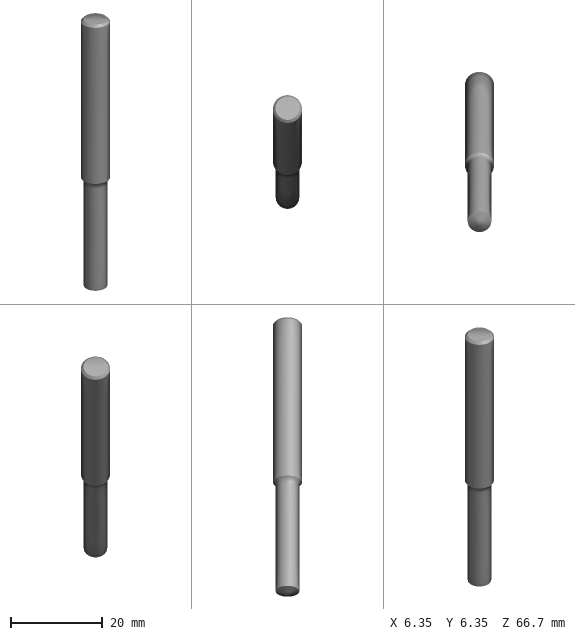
import cadquery as cq
import math

total_length = 66.7
shank_diameter = 6.35
cutting_diameter = 5.15
point_angle = 140.0
cutting_length = 20.4
neck_end_height = 26.2
flare_radius = 2.0
end_chamfer = 0.55

shank_radius = shank_diameter / 2
cutting_radius = cutting_diameter / 2
point_height = cutting_radius / math.tan(math.radians(point_angle / 2))
flare_step = shank_radius - cutting_radius
flare_angle = math.acos(1 - flare_step / flare_radius)
flare_height = flare_radius * math.sin(flare_angle)


def flare_point(angle):
    """Radius and height on the flare arc, at an angle from its neck end."""
    radius = cutting_radius + flare_radius * (1 - math.cos(angle))
    height = neck_end_height + flare_radius * math.sin(angle)
    return radius, height


def revolve_about_z(profile):
    """Turn a closed half profile in the XZ plane around the Z axis."""
    return profile.revolve(360, (0, 0, 0), (0, 1, 0))


def make_cutting_head():
    """Cylindrical cutting part with a conical point."""
    profile = (
        cq.Workplane("XZ")
        .moveTo(0, 0)
        .lineTo(cutting_radius, point_height)
        .lineTo(cutting_radius, cutting_length)
        .lineTo(0, cutting_length)
        .close()
    )
    return revolve_about_z(profile)


def make_shank():
    """Neck, concave flare and shank with a chamfered end."""
    profile = (
        cq.Workplane("XZ")
        .moveTo(0, cutting_length)
        .lineTo(cutting_radius, cutting_length)
        .lineTo(cutting_radius, neck_end_height)
        .threePointArc(
            flare_point(flare_angle / 2),
            (shank_radius, neck_end_height + flare_height),
        )
        .lineTo(shank_radius, total_length - end_chamfer)
        .lineTo(shank_radius - end_chamfer, total_length)
        .lineTo(0, total_length)
        .close()
    )
    return revolve_about_z(profile)


cutting_head = make_cutting_head()
shank = make_shank()

result = cq.Compound.makeCompound([cutting_head.val(), shank.val()])